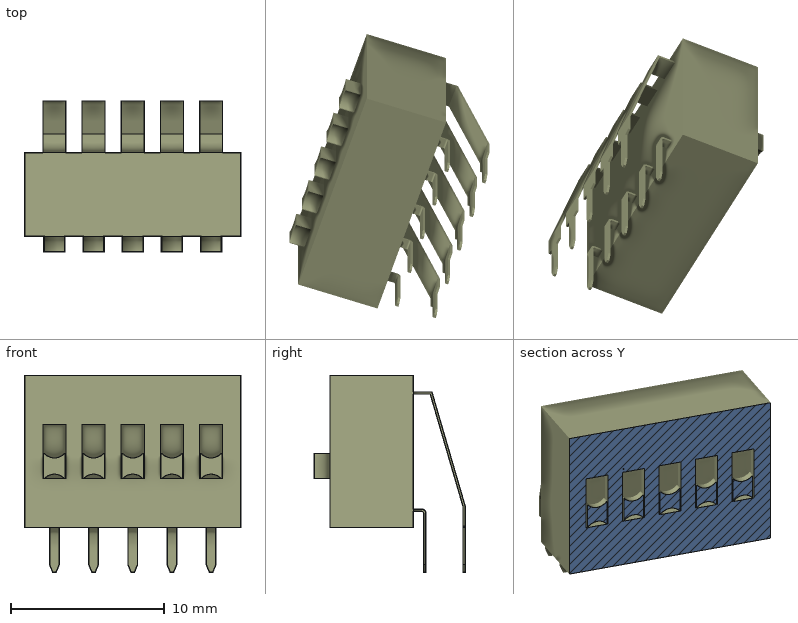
import math
import cadquery as cq


body_length = 14.06
body_depth = 5.43
body_height = 9.9

switch_count = 5
pitch = 2.55

window_width = 1.5
window_height = 3.53
window_depth = 0.93
window_bottom = (body_height - window_height) / 2

knob_width = 1.4
knob_height = 1.65
knob_reach = 1.01
knob_edge_flat = 0.049
knob_hollow = 0.3

lead_thickness = 0.15
pin_width = 0.63
pin_bottom = -2.9
tip_width = 0.22
tip_height = 0.49

blade_width = 1.5
blade_top = 8.83
blade_bend_reach = 1.21
blade_reach = 3.37
blade_bend_bottom = 1.4
shoulder_top = 0.1
shoulder_bottom = 0.0

lower_top = 1.21
lower_reach = 0.82
lower_bend_radius = 0.27

switch_places = [(i - (switch_count - 1) / 2) * pitch for i in range(switch_count)]


def make_housing():
    """Plain rectangular block."""
    return cq.Workplane("XY").box(body_length, body_depth, body_height, centered=(True, False, False))


def make_window():
    """Cutter for one blind rectangular window, centred on x = 0."""
    return (
        cq.Workplane("XY")
        .box(window_width, window_depth, window_height, centered=(True, False, False))
        .translate((0, 0, window_bottom))
    )


def make_knob():
    """Actuator standing on the window floor, hollowed by arcs above and below."""
    half_width = knob_width / 2
    half_arc = half_width - knob_edge_flat
    bottom = window_bottom
    top = bottom + knob_height
    return (
        cq.Workplane("XZ", origin=(0, window_depth, 0))
        .moveTo(-half_width, bottom)
        .lineTo(-half_arc, bottom)
        .threePointArc((0, bottom + knob_hollow), (half_arc, bottom))
        .lineTo(half_width, bottom)
        .lineTo(half_width, top)
        .lineTo(half_arc, top)
        .threePointArc((0, top - knob_hollow), (-half_arc, top))
        .lineTo(-half_width, top)
        .close()
        .extrude(window_depth + knob_reach)
    )


def make_pin_blank():
    """Front outline of a narrow pin with a tapered tip, thick enough to cover a whole lead."""
    half_pin = pin_width / 2
    half_tip = tip_width / 2
    tip_top = pin_bottom + tip_height
    return (
        cq.Workplane("XZ", origin=(0, body_depth, 0))
        .polyline([
            (-half_tip, pin_bottom),
            (half_tip, pin_bottom),
            (half_pin, tip_top),
            (half_pin, lower_top),
            (-half_pin, lower_top),
            (-half_pin, tip_top),
        ])
        .close()
        .extrude(-blade_reach)
    )


def make_blade_blank():
    """Front outline of a wide blade with sloping shoulders down to the pin."""
    half_blade = blade_width / 2
    half_pin = pin_width / 2
    return (
        cq.Workplane("XZ", origin=(0, body_depth, 0))
        .polyline([
            (-half_pin, shoulder_bottom),
            (half_pin, shoulder_bottom),
            (half_blade, shoulder_top),
            (half_blade, blade_top),
            (-half_blade, blade_top),
            (-half_blade, shoulder_top),
        ])
        .close()
        .extrude(-blade_reach)
    )


def side_plane(width):
    """YZ plane on the housing back, ready to extrude a strip centred on x = 0."""
    return cq.Workplane("YZ", origin=(-width / 2, body_depth, 0))


def make_upper_lead():
    """Bent strip: out of the housing, down a slope, then straight down as a pin."""
    slope_angle = math.atan2(blade_reach - blade_bend_reach, blade_top - blade_bend_bottom)
    upper_setback = lead_thickness * math.tan((math.pi / 2 - slope_angle) / 2)
    lower_setback = lead_thickness * math.tan(slope_angle / 2)
    strip = (
        side_plane(blade_width)
        .polyline([
            (0, blade_top),
            (blade_bend_reach, blade_top),
            (blade_reach, blade_bend_bottom),
            (blade_reach, pin_bottom),
            (blade_reach - lead_thickness, pin_bottom),
            (blade_reach - lead_thickness, blade_bend_bottom - lower_setback),
            (blade_bend_reach - upper_setback, blade_top - lead_thickness),
            (0, blade_top - lead_thickness),
        ])
        .close()
        .extrude(blade_width)
    )
    return strip.intersect(make_blade_blank().union(make_pin_blank()))


def make_lower_lead():
    """Strip with one rounded right-angle bend, ending in a pin."""
    strip = (
        side_plane(pin_width)
        .polyline([
            (0, lower_top),
            (lower_reach, lower_top),
            (lower_reach, pin_bottom),
            (lower_reach - lead_thickness, pin_bottom),
            (lower_reach - lead_thickness, lower_top - lead_thickness),
            (0, lower_top - lead_thickness),
        ])
        .close()
        .extrude(pin_width)
    )
    outer_corner = cq.selectors.NearestToPointSelector((0, body_depth + lower_reach, lower_top))
    inner_corner = cq.selectors.NearestToPointSelector(
        (0, body_depth + lower_reach - lead_thickness, lower_top - lead_thickness)
    )
    strip = strip.edges("|X").edges(inner_corner).fillet(lower_bend_radius - lead_thickness)
    strip = strip.edges("|X").edges(outer_corner).fillet(lower_bend_radius)
    return strip.intersect(make_pin_blank())


window = make_window()
switch_parts = [make_knob(), make_upper_lead(), make_lower_lead()]

result = make_housing()
for x in switch_places:
    result = result.cut(window.translate((x, 0, 0)))
    for part in switch_parts:
        result = result.union(part.translate((x, 0, 0)))